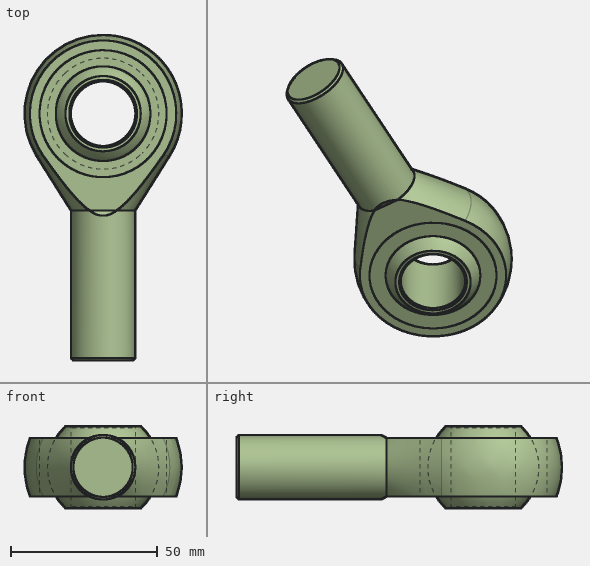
import cadquery as cq
import math

overall_length = 110.9
head_radius = 26.8
head_thickness = 20.0
shank_radius = 11.0
neck_distance = 32.9
shank_chamfer = 0.9
flat_runout = 1.8

race_radius = 21.6
ball_radius = 19.0
ball_width = 28.0
bore_radius = 11.0
bore_chamfer = 0.5

half_thickness = head_thickness / 2
shank_end = head_radius - overall_length


def make_housing():
    """Sphere, tangent cone and shank turned about Y, with two flats and an eye for the race."""
    neck_reach = math.hypot(shank_radius, neck_distance)
    tangent_angle = math.atan2(shank_radius, neck_distance) + math.acos(head_radius / neck_reach)
    tangent_point = (head_radius * math.sin(tangent_angle), -head_radius * math.cos(tangent_angle))
    blank = (
        cq.Workplane("XY")
        .moveTo(0, head_radius)
        .threePointArc((head_radius, 0), tangent_point)
        .lineTo(shank_radius, -neck_distance)
        .lineTo(shank_radius, shank_end + shank_chamfer)
        .lineTo(shank_radius - shank_chamfer, shank_end)
        .lineTo(0, shank_end)
        .close()
        .revolve(360, (0, 0, 0), (0, 1, 0))
    )
    ramp_end = -neck_distance - flat_runout
    envelope = (
        cq.Workplane("YZ")
        .polyline([
            (head_radius, half_thickness),
            (-neck_distance, half_thickness),
            (ramp_end, shank_radius),
            (shank_end, shank_radius),
            (shank_end, -shank_radius),
            (ramp_end, -shank_radius),
            (-neck_distance, -half_thickness),
            (head_radius, -half_thickness),
        ])
        .close()
        .extrude(head_radius, both=True)
    )
    eye = cq.Workplane("XY").circle(race_radius).extrude(half_thickness, both=True)
    return blank.intersect(envelope).cut(eye)


def make_race():
    """Ring flush with the housing flats, with a spherical seat for the ball."""
    ring = cq.Workplane("XY").circle(race_radius).extrude(half_thickness, both=True)
    return ring.cut(cq.Workplane("XY").sphere(ball_radius))


def make_ball():
    """Ball with flat ends and a chamfered through bore."""
    half_width = ball_width / 2
    face_radius = math.sqrt(ball_radius**2 - half_width**2)
    return (
        cq.Workplane("XZ")
        .moveTo(bore_radius + bore_chamfer, half_width)
        .lineTo(face_radius, half_width)
        .threePointArc((ball_radius, 0), (face_radius, -half_width))
        .lineTo(bore_radius + bore_chamfer, -half_width)
        .lineTo(bore_radius, -half_width + bore_chamfer)
        .lineTo(bore_radius, half_width - bore_chamfer)
        .close()
        .revolve(360, (0, 0, 0), (0, 1, 0))
    )


housing = make_housing()
race = make_race()
ball = make_ball()

result = cq.Compound.makeCompound([housing.val(), race.val(), ball.val()])